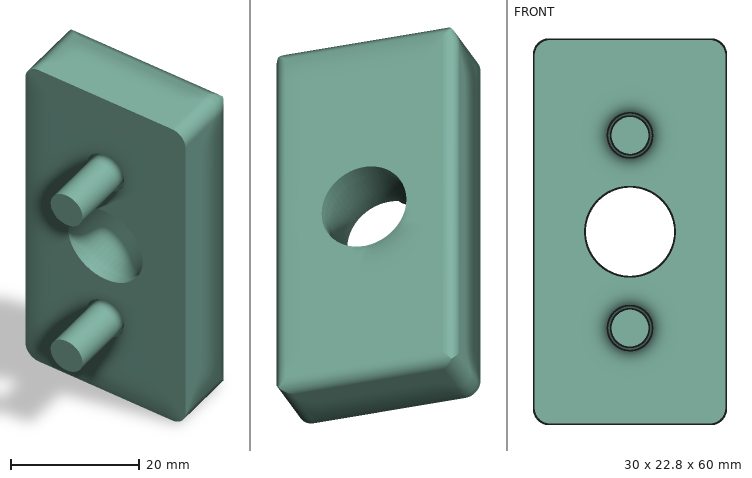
import cadquery as cq

height = 60.0
width = height / 2
thickness = 12.0
corner_radius = 2.5
back_fillet_radius = 2.0

bore_diameter = 14.0
pin_diameter = 6.0
pin_length = 10.8
pin_spacing = height / 2
recess_diameter = 7.0
recess_depth = 3.0


def make_block():
    """Block with rounded back edges, trimmed by a rounded-corner prism so they meet in creases."""
    block = cq.Workplane("XY").box(width, thickness, height, centered=(True, False, True))
    prism = block.edges("|Y").fillet(corner_radius)
    rounded_back = block.faces(">Y").edges().fillet(back_fillet_radius)
    return rounded_back.intersect(prism)


def cylinder_along_y(diameter, y_start, y_end, z):
    """Cylinder parallel to Y, centred on X = 0 at height z."""
    base = cq.Workplane("XZ", origin=(0, y_start, z))
    return base.circle(diameter / 2).extrude(y_start - y_end)


result = make_block().cut(cylinder_along_y(bore_diameter, 0, thickness, 0))

for pin_z in (-pin_spacing / 2, pin_spacing / 2):
    result = result.cut(cylinder_along_y(recess_diameter, 0, recess_depth, pin_z))
    result = result.union(cylinder_along_y(pin_diameter, recess_depth, -pin_length, pin_z))